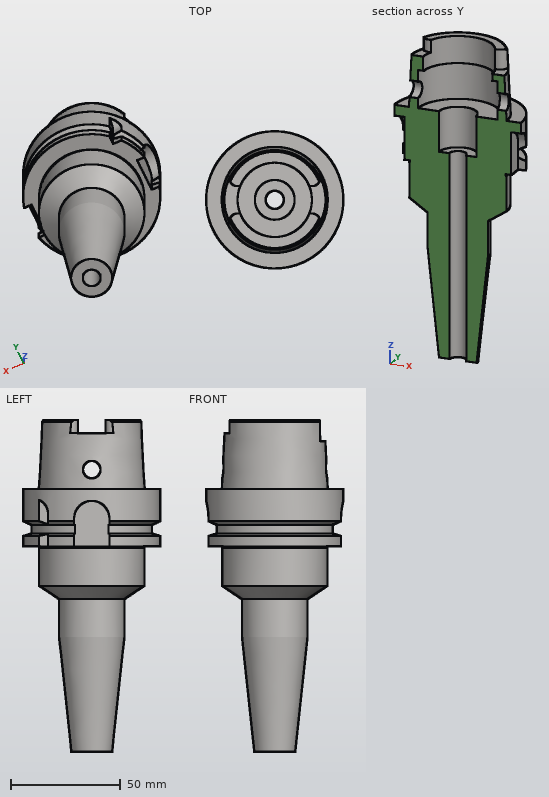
import cadquery as cq
import math

total_length = 152.0
nose_taper_top = 52.5
neck_top = 69.9
shoulder_top = 76.0
relief_bottom = 93.3
flange_bottom = 94.1
flange_top = 120.4

nose_tip_radius = 9.5
neck_radius = 15.0
body_radius = 24.2
relief_radius = 23.7
flange_radius = 31.5
groove_radius = 27.7
shank_base_radius = 24.3
shank_top_radius = 22.8

groove_lower_edge = 98.8
groove_floor_bottom = 100.0
groove_floor_top = 103.8
groove_upper_edge = 105.6

rim_height = 1.0
rim_inset = 0.8

mouth_radius = 17.0
mouth_depth = 13.2
undercut_radius = 19.6
socket_depth = 31.6
thread_radius = 9.1
thread_depth = 51.4
through_radius = 4.1
cross_hole_radius = 4.0
cross_hole_depth = 22.8

drive_half_width = 6.2
drive_round_start = 17.0
drive_round_radius = 3.8
shallow_drive_depth = 6.1
deep_drive_depth = 9.7

keyway_half_width = 8.0
keyway_floor = 26.6
keyway_top = 114.9

notch_corner = 20.0
notch_round_radius = 6.7
notch_round_center = 109.1


def make_body():
    """Revolve the outer outline about Z."""
    outline = [
        (0, 0),
        (nose_tip_radius, 0),
        (neck_radius, nose_taper_top),
        (neck_radius, neck_top),
        (body_radius, shoulder_top),
        (body_radius, relief_bottom),
        (relief_radius, flange_bottom),
        (flange_radius, flange_bottom),
        (flange_radius, groove_lower_edge),
        (groove_radius, groove_floor_bottom),
        (groove_radius, groove_floor_top),
        (flange_radius, groove_upper_edge),
        (flange_radius, flange_top),
        (shank_base_radius, flange_top),
        (shank_top_radius, total_length - rim_height),
        (shank_top_radius - rim_inset, total_length),
        (0, total_length),
    ]
    return cq.Workplane("XZ").polyline(outline).close().revolve(360, (0, 0), (0, 1))


def make_bores():
    """Stepped central bore: undercut mouth, thread bore and through hole."""
    undercut_start = total_length - mouth_depth
    socket_floor = total_length - socket_depth
    thread_floor = total_length - thread_depth
    outline = [
        (0, 0),
        (through_radius, 0),
        (through_radius, thread_floor),
        (thread_radius, thread_floor),
        (thread_radius, socket_floor),
        (undercut_radius, socket_floor),
        (undercut_radius, undercut_start),
        (mouth_radius, undercut_start),
        (mouth_radius, total_length),
        (0, total_length),
    ]
    return cq.Workplane("XZ").polyline(outline).close().revolve(360, (0, 0), (0, 1))


def make_cross_hole():
    """Hole along X through both walls of the shank."""
    return (
        cq.Workplane("YZ")
        .center(0, total_length - cross_hole_depth)
        .circle(cross_hole_radius)
        .extrude(flange_radius, both=True)
    )


def make_drive_slot(side, depth):
    """Slot in the rim on one X side, flaring outward around rounded corners."""
    diagonal = drive_round_radius * math.sqrt(0.5)
    round_end = drive_round_start + drive_round_radius
    flare_half_width = drive_half_width + drive_round_radius
    arc_x = drive_round_start + diagonal
    arc_y = flare_half_width - diagonal
    return (
        cq.Workplane("XY")
        .workplane(offset=total_length - depth)
        .moveTo(0, -drive_half_width)
        .lineTo(side * drive_round_start, -drive_half_width)
        .threePointArc((side * arc_x, -arc_y), (side * round_end, -flare_half_width))
        .lineTo(side * flange_radius, -flare_half_width)
        .lineTo(side * flange_radius, flare_half_width)
        .lineTo(side * round_end, flare_half_width)
        .threePointArc((side * arc_x, arc_y), (side * drive_round_start, drive_half_width))
        .lineTo(0, drive_half_width)
        .close()
        .extrude(depth)
    )


def make_round_topped_slot(floor, side, center_y, radius, arc_center_z):
    """Slot open at the flange bottom, cut outward along X from its flat floor."""
    return (
        cq.Workplane("YZ")
        .workplane(offset=side * floor)
        .moveTo(center_y - radius, flange_bottom)
        .lineTo(center_y - radius, arc_center_z)
        .threePointArc((center_y, arc_center_z + radius), (center_y + radius, arc_center_z))
        .lineTo(center_y + radius, flange_bottom)
        .close()
        .extrude(side * (flange_radius - floor))
    )


def make_keyway(side):
    return make_round_topped_slot(
        keyway_floor, side, 0, keyway_half_width, keyway_top - keyway_half_width
    )


def make_notch():
    return make_round_topped_slot(
        notch_corner, -1, notch_corner + notch_round_radius, notch_round_radius, notch_round_center
    )


result = make_body().cut(make_bores()).cut(make_cross_hole())
result = result.cut(make_drive_slot(-1, shallow_drive_depth))
result = result.cut(make_drive_slot(1, deep_drive_depth))
for keyway_side in (-1, 1):
    result = result.cut(make_keyway(keyway_side))
result = result.cut(make_notch())